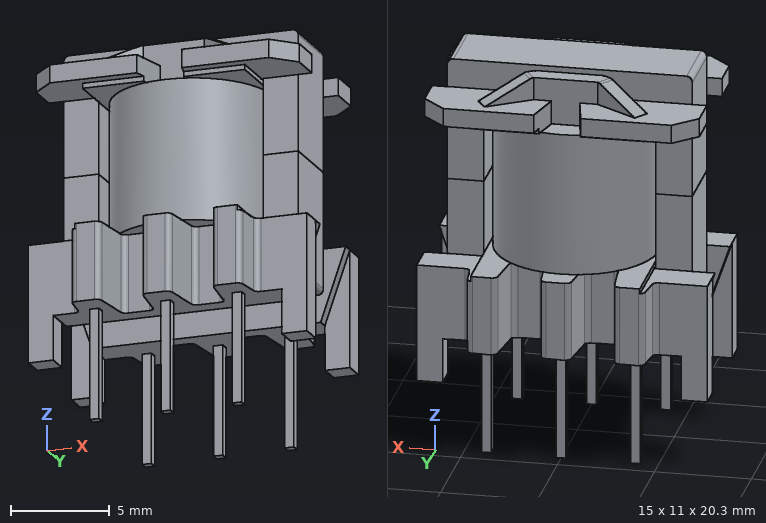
import cadquery as cq
import math

PIN_BOTTOM = 0.0
LEG_BOTTOM = 3.5
BASE_BOTTOM = 5.87
BASE_TOP = 9.76
PLATE_THICKNESS = 0.26
CORE_SPLIT = 13.8
CORE_TOP = 20.3
RIDGE_TOP = 20.02
FLANGE_TOP = 18.82
PLATE_OFFSET = CORE_SPLIT - BASE_TOP
BARREL_BOTTOM = BASE_TOP + PLATE_THICKNESS
FLANGE_BOTTOM = CORE_SPLIT + PLATE_OFFSET
BARREL_TOP = FLANGE_BOTTOM - PLATE_THICKNESS

CORE_LENGTH = 12.63
CORE_WIDTH = 3.7
CORE_WINDOW = 8.85
CORE_EDGE_RADIUS = 0.3
CORE_HALF_HEIGHT = CORE_TOP - CORE_SPLIT

BARREL_DIAMETER = 8.5
PLATE_SIZE = 8.73
CHANNEL_HALF_WIDTH = 1.89
WALL_Y = 2.86

BASE_HALF_LENGTH = 15.0 / 2
BASE_SIDE_Y = 3.8
PIN_PITCH = 3.84
PIN_SIZE = 0.5
BLOCK_TIP_Y = 11.0 / 2
BLOCK_PITCH = 3.8
BLOCK_TIP_HALF = 0.75
BLOCK_TAPER = math.tan(math.radians(6.6))
BLOCK_RADIUS = 0.3
LEG_INNER_X = 6.15
LEG_INNER_Y = 2.5

FLANGE_HALF_LENGTH = 7.08
FLANGE_INNER_Y = 1.93
FLANGE_SIDE_Y = 5.0
FLANGE_CHAMFER = 1.2
NOTCH_INNER_HALF = 0.73
NOTCH_OUTER_HALF = 1.22

RIDGE_HALF_LENGTH = 1.65
WING_ANGLE = 34.0
WING_LENGTH = 2.68
WING_WIDTH = 0.87
WING_FLAT = 0.1
WING_EDGE_RADIUS = 0.45


def box(x_range, y_range, z_range):
    """A block between the given limits."""
    size = [high - low for low, high in (x_range, y_range, z_range)]
    low_corner = (x_range[0], y_range[0], z_range[0])
    return cq.Workplane("XY").box(*size, centered=False).translate(low_corner)


def both_sides(body, plane):
    """The body together with its mirror image."""
    return body.union(body.mirror(plane))


def prism(points, bottom, top):
    """An upright prism on a closed outline."""
    return cq.Workplane("XY").workplane(offset=bottom).polyline(points).close().extrude(top - bottom)


def mirrored_outline(points):
    """Points of the +X half outline, continued over the Y axis."""
    return points + [(-x, y) for x, y in reversed(points)]


def make_upper_core():
    """A U-shaped core half: a back with two legs reaching down to the split."""
    core = cq.Workplane("XY").box(
        CORE_LENGTH, CORE_WIDTH, CORE_HALF_HEIGHT, centered=(True, True, False)
    )
    core = core.faces(">Z").edges("|Y").fillet(CORE_EDGE_RADIUS)
    window = cq.Workplane("XY").box(
        CORE_WINDOW, CORE_WIDTH, PLATE_OFFSET, centered=(True, True, False)
    )
    return core.cut(window).translate((0, 0, CORE_SPLIT))


def make_base_side(bottom, top):
    """The +Y side of the base, with three tapered pin blocks."""
    wall_spread = (BLOCK_TIP_Y - WALL_Y) * BLOCK_TAPER
    side_spread = (BLOCK_TIP_Y - BASE_SIDE_Y) * BLOCK_TAPER
    outline = mirrored_outline([
        (BASE_HALF_LENGTH, CHANNEL_HALF_WIDTH),
        (BASE_HALF_LENGTH, BASE_SIDE_Y),
        (BLOCK_PITCH + BLOCK_TIP_HALF + side_spread, BASE_SIDE_Y),
        (BLOCK_PITCH + BLOCK_TIP_HALF, BLOCK_TIP_Y),
        (BLOCK_PITCH - BLOCK_TIP_HALF, BLOCK_TIP_Y),
        (BLOCK_PITCH - BLOCK_TIP_HALF - wall_spread, WALL_Y),
        (BLOCK_TIP_HALF + wall_spread, WALL_Y),
        (BLOCK_TIP_HALF, BLOCK_TIP_Y),
    ])
    side = prism(outline, bottom, top)
    block_corners = cq.selectors.BoxSelector(
        (-LEG_INNER_X, CHANNEL_HALF_WIDTH, bottom), (LEG_INNER_X, 2 * BLOCK_TIP_Y, top)
    )
    return side.edges("|Z").edges(block_corners).fillet(BLOCK_RADIUS)


def make_leg():
    """A standing leg at the +X +Y corner of the base."""
    return box(
        (LEG_INNER_X, BASE_HALF_LENGTH), (LEG_INNER_Y, BASE_SIDE_Y), (LEG_BOTTOM, BASE_TOP)
    )


def make_leg_slope():
    """The wedge cut from the base between a leg and the core channel."""
    return cq.Workplane("XZ").polyline([
        (BASE_HALF_LENGTH, BASE_TOP),
        (LEG_INNER_X, BASE_BOTTOM),
        (BASE_HALF_LENGTH, BASE_BOTTOM),
    ]).close().extrude(-LEG_INNER_Y)


def make_base():
    """Base with legs and pins, and the lower end plate of the barrel."""
    side = make_base_side(BASE_BOTTOM, BASE_TOP)
    side = side.cut(both_sides(make_leg_slope(), "YZ"))
    side = side.union(both_sides(make_leg(), "YZ"))

    raised = make_base_side(BASE_TOP, BARREL_BOTTOM).intersect(
        box((-PLATE_SIZE / 2, PLATE_SIZE / 2), (0, BLOCK_TIP_Y), (BASE_TOP, BARREL_BOTTOM))
    )
    bridge = box((-PLATE_SIZE / 2, PLATE_SIZE / 2), (0, WALL_Y), (BASE_TOP, BARREL_BOTTOM))
    side = side.union(raised).union(bridge)

    for x in (-PIN_PITCH, 0, PIN_PITCH):
        pin = cq.Workplane("XY").box(
            PIN_SIZE, PIN_SIZE, BASE_BOTTOM - PIN_BOTTOM, centered=(True, True, False)
        )
        side = side.union(pin.translate((x, PIN_PITCH, PIN_BOTTOM)))
    return both_sides(side, "XZ")


def make_wing():
    """The sloping wing at the +X end of the ridge on the +Y side."""
    angle = math.radians(WING_ANGLE)
    along = (math.cos(angle), math.sin(angle), 0)
    inward = (math.sin(angle), -math.cos(angle), 0)
    plane = cq.Plane(origin=(RIDGE_HALF_LENGTH, WALL_Y, FLANGE_TOP), xDir=along, normal=inward)
    height = RIDGE_TOP - FLANGE_TOP
    wing = cq.Workplane(plane).polyline([
        (0, 0),
        (WING_LENGTH, 0),
        (WING_FLAT, height),
        (0, height),
    ]).close().extrude(WING_WIDTH)
    crest = cq.selectors.NearestToPointSelector(
        plane.toWorldCoords((WING_FLAT, height, WING_WIDTH / 2)).toTuple()
    )
    return wing.edges(crest).fillet(WING_EDGE_RADIUS)


def make_ridge():
    """The ridge beside the core on the +Y side, standing on the barrel."""
    angle = math.radians(WING_ANGLE)
    wing_x = RIDGE_HALF_LENGTH + WING_WIDTH * math.sin(angle)
    wing_y = WALL_Y - WING_WIDTH * math.cos(angle)
    inner_x = wing_x - (wing_y - CHANNEL_HALF_WIDTH) / math.tan(angle)
    bar = prism(mirrored_outline([
        (inner_x, CHANNEL_HALF_WIDTH),
        (wing_x, wing_y),
        (RIDGE_HALF_LENGTH, WALL_Y),
    ]), BARREL_TOP, RIDGE_TOP)
    return bar.union(both_sides(make_wing(), "YZ"))


def make_flange():
    """Upper end plate of the barrel and the two notched flange halves."""
    plate = cq.Workplane("XY").box(
        PLATE_SIZE, PLATE_SIZE, PLATE_THICKNESS, centered=(True, True, False)
    ).translate((0, 0, BARREL_TOP))
    side = prism(mirrored_outline([
        (FLANGE_HALF_LENGTH, FLANGE_INNER_Y),
        (FLANGE_HALF_LENGTH, FLANGE_SIDE_Y - FLANGE_CHAMFER),
        (FLANGE_HALF_LENGTH - FLANGE_CHAMFER, FLANGE_SIDE_Y),
    ]), FLANGE_BOTTOM, FLANGE_TOP)
    notch = prism(mirrored_outline([
        (NOTCH_INNER_HALF, WALL_Y),
        (NOTCH_OUTER_HALF, FLANGE_SIDE_Y),
    ]), BARREL_TOP, FLANGE_TOP)
    flange = plate.union(both_sides(side, "XZ")).cut(both_sides(notch, "XZ"))
    return flange.union(both_sides(make_ridge(), "XZ"))


def make_bobbin():
    """Base and flange joined by the round barrel."""
    barrel = cq.Workplane("XY").workplane(offset=BARREL_BOTTOM).circle(BARREL_DIAMETER / 2)
    barrel = barrel.extrude(BARREL_TOP - BARREL_BOTTOM)
    return make_base().union(barrel).union(make_flange())


bobbin = make_bobbin()
upper_core = make_upper_core()
lower_core = upper_core.rotate((0, 0, CORE_SPLIT), (1, 0, CORE_SPLIT), 180)

result = cq.Compound.makeCompound([bobbin.val(), upper_core.val(), lower_core.val()])